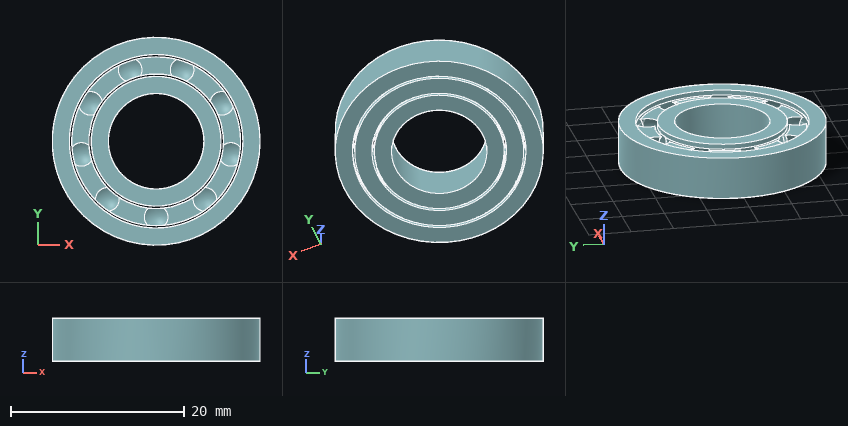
import cadquery as cq
import math

outer_diameter = 24.0
outer_ring_bore = 20.0
inner_ring_diameter = 15.0
shaft_bore = 11.0
width = 5.0

ball_radius = 2.25
ball_count = 9
first_ball_angle = -90.0
mid_height = width / 2

cage_outer_diameter = 19.5
cage_inner_diameter = 15.5
cage_height = 4.3
pitch_radius = (cage_outer_diameter + cage_inner_diameter) / 4


def tube(outside, bore, height):
    """Plain ring standing on the XY plane."""
    return cq.Workplane("XY").circle(outside / 2).circle(bore / 2).extrude(height)


def raceway_torus():
    """Space swept by the balls as they run around the bearing axis."""
    return cq.Workplane(cq.Solid.makeTorus(pitch_radius, ball_radius, cq.Vector(0, 0, mid_height)))


def make_outer_ring():
    return tube(outer_diameter, outer_ring_bore, width).cut(raceway_torus())


def make_inner_ring():
    return tube(inner_ring_diameter, shaft_bore, width).cut(raceway_torus())


def ball_space(angle):
    """Sphere on the pitch circle at the given angle in degrees."""
    x = pitch_radius * math.cos(math.radians(angle))
    y = pitch_radius * math.sin(math.radians(angle))
    return cq.Workplane("XY").sphere(ball_radius).translate((x, y, mid_height))


def make_cage():
    """Ring with spherical pockets, open at the top and sides and closed at the bottom."""
    cage = tube(cage_outer_diameter, cage_inner_diameter, cage_height)
    for index in range(ball_count):
        cage = cage.cut(ball_space(first_ball_angle + index * 360 / ball_count))
    return cage


outer_ring = make_outer_ring()
inner_ring = make_inner_ring()
cage = make_cage()

result = cq.Compound.makeCompound([outer_ring.val(), inner_ring.val(), cage.val()])